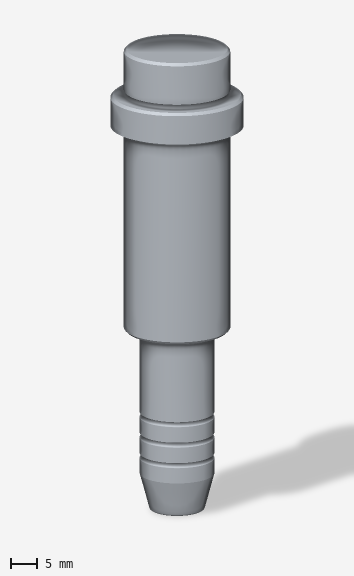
import cadquery as cq
import math

total_height = 90.0
taper_height = 7.0
shank_top = 34.0
body_bottom = 35.0
flange_bottom = 75.0
flange_top = 81.0

flange_diameter = 25.0
body_diameter = 20.0
shank_diameter = 14.0
neck_diameter = 13.0

taper_angle = 15.0
tip_radius = shank_diameter / 2 - taper_height * math.tan(math.radians(taper_angle))

groove_radius = 0.495
groove_width = 2 * groove_radius
shank_groove_count = 3
first_groove_bottom = 10.0
last_groove_bottom = 18.0
groove_pitch = (last_groove_bottom - first_groove_bottom) / (shank_groove_count - 1)

edge_chamfer = 0.495
tip_fillet = 0.5


def cylinder(diameter, bottom, top):
    """Solid cylinder on the Z axis between two heights."""
    return cq.Workplane("XY").workplane(offset=bottom).circle(diameter / 2).extrude(top - bottom)


def ring_groove(diameter, bottom):
    """Ring to cut from a cylinder, leaving a half-round groove that starts at the given height."""
    tube_centre = (diameter / 2, bottom + groove_radius)
    return cq.Workplane("XZ").center(*tube_centre).circle(groove_radius).revolve(
        360, (-diameter / 2, 0), (-diameter / 2, 1)
    )


def make_shank():
    """Locating shank with a conical tip, rounded at its end, and evenly spaced ring grooves."""
    outline = [
        (0, 0),
        (tip_radius, 0),
        (shank_diameter / 2, taper_height),
        (shank_diameter / 2, shank_top),
        (0, shank_top),
    ]
    shank = cq.Workplane("XZ").polyline(outline).close().revolve(360, (0, 0), (0, 1))
    shank = shank.faces("<Z").edges().fillet(tip_fillet)
    for index in range(shank_groove_count):
        shank = shank.cut(ring_groove(shank_diameter, first_groove_bottom + index * groove_pitch))
    return shank


def make_body():
    """Main cylinder and head, chamfered at both ends and grooved on both sides of the flange."""
    body = cylinder(body_diameter, body_bottom, total_height)
    body = body.faces("<Z or >Z").edges().chamfer(edge_chamfer)
    body = body.cut(ring_groove(body_diameter, flange_bottom - groove_width))
    return body.cut(ring_groove(body_diameter, flange_top))


neck = cylinder(neck_diameter, shank_top, body_bottom)
flange = cylinder(flange_diameter, flange_bottom, flange_top)
flange = flange.faces(">Z").edges().chamfer(edge_chamfer)

result = make_body().union(flange).union(neck).union(make_shank())